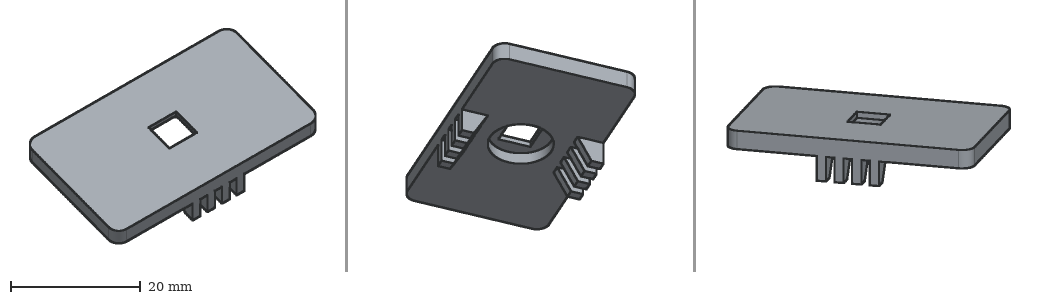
import cadquery as cq

plate_width = 23.5
plate_length = 39.5
total_height = 7.0
leg_height = 4.0
plate_thickness = total_height - leg_height
corner_radius = 2.0

window_side = 5.3
window_depth = 1.0
recess_diameter = 10.2
recess_depth = plate_thickness - window_depth

legs_per_row = 4
leg_row_length = 10.0
leg_thickness = 1.5
leg_root_width = 4.3
leg_tip_width = 2.0
leg_pitch = (leg_row_length - leg_thickness) / (legs_per_row - 1)


def make_plate():
    """Rounded plate with its underside at Z = 0."""
    plate = cq.Workplane("XY").box(plate_width, plate_length, plate_thickness, centered=(True, True, False))
    return plate.edges("|Z").fillet(corner_radius)


def make_opening():
    """Window through the plate, with the wider recess below it."""
    window = cq.Workplane("XY").rect(window_side, window_side).extrude(plate_thickness)
    recess = cq.Workplane("XY").circle(recess_diameter / 2).extrude(recess_depth)
    return window.union(recess)


def make_leg(side, center_y):
    """Leg flush with the long edge on the given side (-1 or 1), tapering on its inner face."""
    outer_x = side * plate_width / 2
    profile = [
        (outer_x, 0),
        (outer_x, -leg_height),
        (outer_x - side * leg_tip_width, -leg_height),
        (outer_x - side * leg_root_width, 0),
    ]
    leg = cq.Workplane("XZ").polyline(profile).close().extrude(leg_thickness / 2, both=True)
    return leg.translate((0, center_y, 0))


result = make_plate().cut(make_opening())
for side in (-1, 1):
    for index in range(legs_per_row):
        center_y = (index - (legs_per_row - 1) / 2) * leg_pitch
        result = result.union(make_leg(side, center_y))